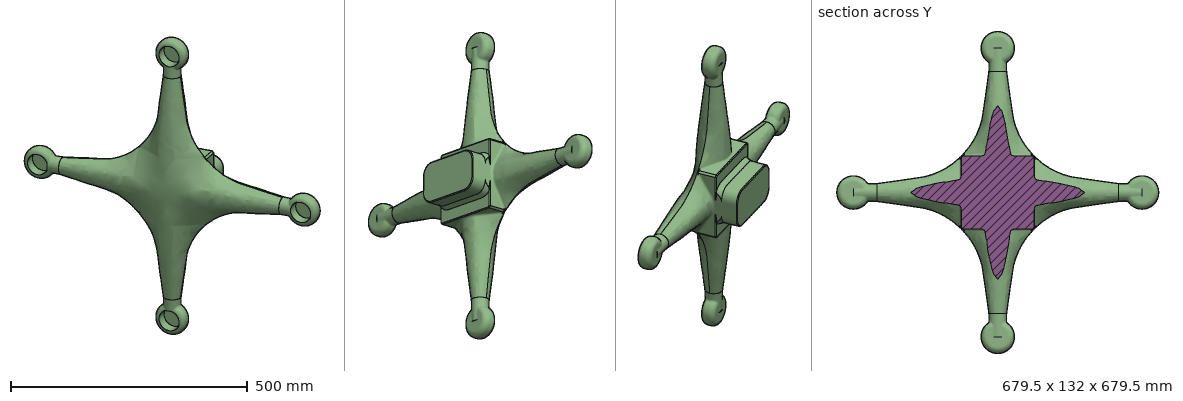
import cadquery as cq
import math

SPAN = 679.5
DEPTH = 132.0

SOCKET_RADIUS = 35.0
SOCKET_HALF_DEPTH = 16.0
SOCKET_ROUND = 13.0
HOLE_RADIUS = 23.0
HOLE_FLOOR = 9.5
SOCKET_FILLET = 5.5
SOCKET_REACH = SPAN / 2 - SOCKET_RADIUS

BODY_HALF_DEPTH = 39.0
CORE_HALF_WIDTH = 77.0
WEB_RADIUS = 163.0
WEB_CENTER = CORE_HALF_WIDTH + WEB_RADIUS / math.sqrt(2)
NECK_START = 255.0
NECK_RADIUS = 19.0
NECK_TIP_RADIUS = 18.0
WEB_REACH = 187.0
RIDGE_HALF_WIDTH = 15.0
RIDGE_DROP = 2.0
CREST_POWER = 1.7
ARM_STATIONS = 8
FLANK_STEPS = 3
RIDGE_ANGLE = 67.5

BACK_FACE = DEPTH - BODY_HALF_DEPTH
PLATE_HALF_WIDTH = 77.5
PLATE_FACE = 43.5
PLATE_CHAMFER = 4.0
EDGE_BREAK = 2.0
PLATE_FILLET = 5.0
SEAM_TOLERANCE = 0.01
BLOCK_WIDTH = 2 * PLATE_HALF_WIDTH
BLOCK_HEIGHT = 90.0
BLOCK_CORNER = 26.5
SKIRT_DEPTH = 13.0
SKIRT_FLARE = 5.5

FRONT_TO_BACK = cq.Vector(0, 1, 0)
ORIGIN = cq.Vector(0, 0, 0)


def web_tangent_angle():
    """Angle on the web arc, measured from X, where the straight taper of the arm leaves it."""
    to_x = WEB_CENTER - NECK_RADIUS
    to_z = NECK_START - WEB_CENTER
    return math.atan2(to_z, to_x) - math.acos(WEB_RADIUS / math.hypot(to_x, to_z))


TANGENT_REACH = WEB_CENTER + WEB_RADIUS * math.sin(web_tangent_angle())
TANGENT_HALF_WIDTH = WEB_CENTER - WEB_RADIUS * math.cos(web_tangent_angle())


def half_width(reach):
    """Arm half width: a web arc near the core, then a straight taper to the neck."""
    if reach < TANGENT_REACH:
        return WEB_CENTER - math.sqrt(WEB_RADIUS**2 - (WEB_CENTER - reach) ** 2)
    along = (reach - TANGENT_REACH) / (NECK_START - TANGENT_REACH)
    return TANGENT_HALF_WIDTH + along * (NECK_RADIUS - TANGENT_HALF_WIDTH)


def half_depth(reach):
    """Arm half depth, falling gently from the centre to the neck."""
    return BODY_HALF_DEPTH - (BODY_HALF_DEPTH - NECK_RADIUS) * (reach / NECK_START) ** CREST_POWER


def half_section(reach):
    """Front edge of the cross-section: round at the neck, a ridge with flat flanks near the core."""
    width = half_width(reach)
    depth = half_depth(reach)
    flat = min(1, max(0, (WEB_REACH - reach) / (WEB_REACH - CORE_HALF_WIDTH)))
    right = []
    for step in range(FLANK_STEPS + 1):
        across = step / FLANK_STEPS
        turn = math.radians(across * RIDGE_ANGLE)
        flank_x = width + across * (RIDGE_HALF_WIDTH - width)
        flank_y = across * (depth - RIDGE_DROP)
        x = (1 - flat) * width * math.cos(turn) + flat * flank_x
        y = (1 - flat) * depth * math.sin(turn) + flat * flank_y
        right.append(cq.Vector(x, -y, reach))
    left = [cq.Vector(-p.x, p.y, p.z) for p in reversed(right)]
    points = right + [cq.Vector(0, -depth, reach)] + left
    return cq.Edge.makeSpline(points)


def make_arm():
    """Arm along +Z, lofted from the core to the start of the neck."""
    step = (NECK_START - CORE_HALF_WIDTH) / ARM_STATIONS
    sections = []
    for station in range(ARM_STATIONS + 1):
        front = half_section(CORE_HALF_WIDTH + station * step)
        sections.append(cq.Wire.assembleEdges([front, front.mirror("XZ")]))
    return cq.Solid.makeLoft(sections)


def around(shape):
    """The four copies of a shape, one per arm."""
    return [shape.rotate(ORIGIN, FRONT_TO_BACK, 90 * turn) for turn in range(4)]


def make_core():
    """Block joining the arms: a smooth pillow front and back, flat sides where the arms start."""
    edge = half_section(CORE_HALF_WIDTH)
    midway = CORE_HALF_WIDTH / 2
    crest = [cq.Vector(0, -BODY_HALF_DEPTH, 0)] + [
        cq.Vector(x, -half_depth(midway), z)
        for x, z in ((midway, 0), (-midway, 0), (0, midway), (0, -midway))
    ]
    front = cq.Face.makeNSidedSurface(around(edge), crest)
    side = cq.Face.makeFromWires(cq.Wire.assembleEdges([edge, edge.mirror("XZ")]))
    shell = cq.Shell.makeShell([front, front.mirror("XZ")] + around(side))
    return cq.Solid.makeSolid(shell)


body = cq.Workplane(make_core())
for arm in around(make_arm()):
    body = body.union(cq.Workplane(arm))

plate = (
    cq.Workplane("XZ")
    .rect(2 * PLATE_HALF_WIDTH, 2 * PLATE_HALF_WIDTH)
    .extrude(-PLATE_FACE)
    .edges("|Y")
    .chamfer(PLATE_CHAMFER)
    .faces(">Y")
    .edges()
    .chamfer(EDGE_BREAK)
)
block = (
    cq.Workplane("XZ")
    .rect(BLOCK_WIDTH, BLOCK_HEIGHT)
    .extrude(-BACK_FACE)
    .edges("|Y")
    .fillet(BLOCK_CORNER)
    .faces(">Y")
    .edges()
    .chamfer(EDGE_BREAK)
)

skirt_base = cq.Sketch().rect(BLOCK_WIDTH + 2 * SKIRT_FLARE, BLOCK_HEIGHT + 2 * SKIRT_FLARE)
skirt_base = skirt_base.vertices().fillet(BLOCK_CORNER + SKIRT_FLARE)
skirt_taper = math.degrees(math.atan(SKIRT_FLARE / SKIRT_DEPTH))
skirt_limits = cq.Workplane("XZ").rect(BLOCK_WIDTH, 2 * BLOCK_HEIGHT).extrude(-BACK_FACE)
skirt = (
    cq.Workplane("XZ", origin=(0, PLATE_FACE, 0))
    .placeSketch(skirt_base)
    .extrude(-SKIRT_DEPTH, taper=skirt_taper)
    .intersect(skirt_limits)
)


def plate_seams(shape):
    """Long curved edges where the plate's flat sides rise out of the arms."""
    seams = []
    for edge in shape.edges("%BSPLINE").vals():
        middle = edge.Center()
        outward = max(abs(middle.x), abs(middle.z))
        if abs(outward - PLATE_HALF_WIDTH) < SEAM_TOLERANCE and edge.Length() > PLATE_HALF_WIDTH:
            seams.append(edge)
    return seams


body = body.union(plate)
body = body.newObject(plate_seams(body)).fillet(PLATE_FILLET)
body = body.union(block).union(skirt)

neck = cq.Solid.makeCone(
    NECK_RADIUS, NECK_TIP_RADIUS, SOCKET_REACH - NECK_START,
    cq.Vector(0, 0, NECK_START), cq.Vector(0, 0, 1),
)
ring = (
    cq.Workplane("XZ", origin=(0, 0, SOCKET_REACH))
    .circle(SOCKET_RADIUS)
    .extrude(SOCKET_HALF_DEPTH, both=True)
    .edges()
    .fillet(SOCKET_ROUND)
)
hole = (
    cq.Workplane("XZ", origin=(0, HOLE_FLOOR, SOCKET_REACH))
    .circle(HOLE_RADIUS)
    .extrude(HOLE_FLOOR + 2 * SOCKET_HALF_DEPTH)
)


def socket_seams(shape):
    """Curved edges where the neck runs into the rounded outside of the socket ring."""
    edges = shape.edges("%BSPLINE").vals()
    return [edge for edge in edges if edge.Center().z < SOCKET_REACH - HOLE_RADIUS]


tip = ring.union(cq.Workplane(neck))
tip = tip.newObject(socket_seams(tip)).fillet(SOCKET_FILLET).cut(hole)
for socket in around(tip.val()):
    body = body.union(cq.Workplane(socket))

result = body